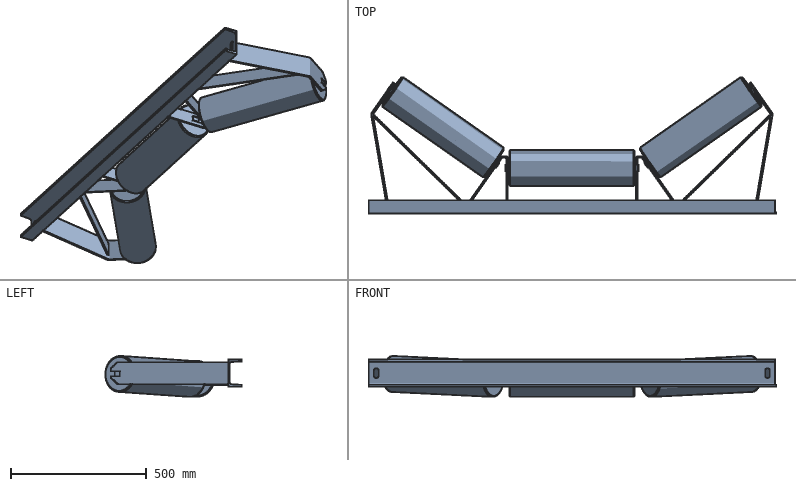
import cadquery as cq
import math


BEAM_LENGTH = 1495.0
BEAM_HEIGHT = 100.0
BEAM_DEPTH = 50.0
WEB_THICKNESS = 5.0
FLANGE_THICKNESS = 9.0
FLANGE_TAPER = math.radians(3)
FLANGE_ROOT_RADIUS = 8.0
LIP_LENGTH = 5.0
LIP_DEPTH = 6.0
MOUNT_SLOT_WIDTH = 18.0
MOUNT_SLOT_LENGTH = 36.0
MOUNT_SLOT_INSET = 28.0

ROLLER_DIAMETER = 134.0
ROLLER_LENGTH = 460.0
ROLLER_CHAMFER = 5.0
SHAFT_DIAMETER = 30.0
SHAFT_END_DEPTH = 22.0
SHAFT_END_WIDTH = 18.0
SHAFT_OVERHANG = 15.0
TROUGH_ANGLE = math.radians(35)
FORWARD_TILT = math.radians(2.3)
CENTRE_Z = -21.0
CENTRE_ROLLER_POSITION = (0, 118.0, CENTRE_Z)
SIDE_ROLLER_POSITION = (-474.0, 268.0, -12.0)

ARM_THICKNESS = 8.0
ARM_HEIGHT = 81.0
ARM_FOOT_X = -681.0
ARM_BEND = (-735.0, 316.0)
ARM_BEND_RADIUS = 8.0
PLATE_LENGTH = 140.0
CORNER_LENGTH = 30.0
CORNER_HEIGHT = 24.0

BAR_THICKNESS = 6.0
BAR_HEIGHT = 48.0
STRUT_FOOT_X = -411.0

SLOPING_FOOT_X = -370.0
UPRIGHT_X = -238.0
INNER_TOP_Y = 159.0
INNER_BEND_RADIUS = 3.0


def nearest(x, y, z):
    return cq.selectors.NearestToPointSelector((x, y, z))


def bent_strip(path, thickness, height, middle_z, bend_radius=0):
    """Strip on edge, centred on a path in XY and on middle_z, with rounded bends."""
    angles = [math.atan2(b[1] - a[1], b[0] - a[0]) for a, b in zip(path, path[1:])]
    left_side = []
    right_side = []
    bends = []
    for i, (x, y) in enumerate(path):
        angle_in = angles[max(i - 1, 0)]
        angle_out = angles[min(i, len(angles) - 1)]
        turn = angle_out - angle_in
        across = (angle_in + angle_out + math.pi) / 2
        reach = thickness / 2 / math.cos(turn / 2)
        left = (x + reach * math.cos(across), y + reach * math.sin(across))
        right = (2 * x - left[0], 2 * y - left[1])
        left_side.append(left)
        right_side.append(right)
        if turn:
            inside, outside = (left, right) if turn > 0 else (right, left)
            bends.append((inside, bend_radius))
            bends.append((outside, bend_radius + thickness))
    outline = left_side + right_side[::-1]
    strip = cq.Workplane("XY", origin=(0, 0, middle_z)).polyline(outline).close()
    strip = strip.extrude(height / 2, both=True)
    for (x, y), radius in bends:
        strip = strip.edges(nearest(x, y, middle_z)).fillet(radius)
    return strip



def roller_plane(middle, trough_angle, tilt):
    """Plane across a roller: the normal runs outwards along the axis, local x leads away from the beam."""
    run = math.cos(tilt)
    axis = (-math.cos(trough_angle) * run, math.sin(trough_angle) * run, math.sin(tilt))
    away = (math.sin(trough_angle), math.cos(trough_angle), 0)
    return cq.Plane(origin=middle, xDir=away, normal=axis)


def cylinder(plane, diameter, length):
    """Cylinder centred on the origin of the plane."""
    return cq.Workplane(plane).workplane(offset=-length / 2).circle(diameter / 2).extrude(length)


def make_roller(plane):
    roller = cylinder(plane, ROLLER_DIAMETER, ROLLER_LENGTH).faces("%PLANE").edges().chamfer(ROLLER_CHAMFER)
    return roller.cut(cylinder(plane, SHAFT_DIAMETER, ROLLER_LENGTH))


def make_shaft(plane):
    """Round inside the roller, with a rectangular end on each side."""
    half_length = ROLLER_LENGTH / 2 + SHAFT_OVERHANG
    ends = cq.Workplane(plane).rect(SHAFT_END_DEPTH, SHAFT_END_WIDTH).extrude(half_length, both=True)
    return cylinder(plane, SHAFT_DIAMETER, ROLLER_LENGTH).union(ends)


def make_shaft_slots(plane):
    """Cutter for the slots of both shaft ends, open away from the beam."""
    slot_depth = SHAFT_END_DEPTH + ARM_HEIGHT
    slot_middle = (slot_depth - SHAFT_END_DEPTH) / 2
    half_length = ROLLER_LENGTH / 2 + 2 * SHAFT_OVERHANG
    slots = cq.Workplane(plane).center(slot_middle, 0).rect(slot_depth, SHAFT_END_WIDTH)
    return slots.extrude(half_length, both=True)



def make_beam():
    top = BEAM_HEIGHT / 2
    slope = math.tan(FLANGE_TAPER)
    tip = top - FLANGE_THICKNESS + slope * BEAM_DEPTH / 2
    root = tip - slope * (BEAM_DEPTH - WEB_THICKNESS)
    outline = [
        (0, -top), (0, top), (-BEAM_DEPTH, top), (-BEAM_DEPTH, tip), (-WEB_THICKNESS, root),
        (-WEB_THICKNESS, -root), (-BEAM_DEPTH, -tip), (-BEAM_DEPTH, -top),
    ]
    beam = cq.Workplane("YZ").polyline(outline).close().extrude(BEAM_LENGTH / 2, both=True)
    for z in (root, -root):
        beam = beam.edges(nearest(0, -WEB_THICKNESS, z)).fillet(FLANGE_ROOT_RADIUS)
    slot_x = BEAM_LENGTH / 2 - MOUNT_SLOT_INSET
    slots = cq.Workplane("XZ").pushPoints([(-slot_x, 0), (slot_x, 0)])
    slots = slots.slot2D(MOUNT_SLOT_LENGTH, MOUNT_SLOT_WIDTH, 90).extrude(BEAM_DEPTH)
    lip_corner = (BEAM_LENGTH / 2, -BEAM_DEPTH, -top)
    lip = cq.Workplane("XY").box(LIP_LENGTH, LIP_DEPTH, top - tip, centered=False).translate(lip_corner)
    return beam.cut(slots).union(lip)


def make_outer_support():
    along_x = math.sin(TROUGH_ANGLE)
    along_y = math.cos(TROUGH_ANGLE)
    tip = (ARM_BEND[0] + PLATE_LENGTH * along_x, ARM_BEND[1] + PLATE_LENGTH * along_y)
    path = [(ARM_FOOT_X, 0), ARM_BEND, tip]
    support = bent_strip(path, ARM_THICKNESS, ARM_HEIGHT, 0, ARM_BEND_RADIUS)
    plate = cq.Plane(origin=(*tip, 0), xDir=(-along_x, -along_y, 0), normal=(-along_y, along_x, 0))
    for side in (-1, 1):
        edge = side * ARM_HEIGHT / 2
        corner = [(0, edge), (CORNER_LENGTH, edge), (0, edge - side * CORNER_HEIGHT)]
        cutter = cq.Workplane(plate).polyline(corner).close().extrude(ARM_THICKNESS, both=True)
        support = support.cut(cutter)
    return support


def make_strut():
    return bent_strip([(STRUT_FOOT_X, 0), ARM_BEND], BAR_THICKNESS, BAR_HEIGHT, 0)


def make_inner_support():
    slope_top_x = SLOPING_FOOT_X + INNER_TOP_Y * math.tan(TROUGH_ANGLE)
    path = [(SLOPING_FOOT_X, 0), (slope_top_x, INNER_TOP_Y), (UPRIGHT_X, INNER_TOP_Y), (UPRIGHT_X, 0)]
    return bent_strip(path, BAR_THICKNESS, BAR_HEIGHT, CENTRE_Z, INNER_BEND_RADIUS)


def make_frame(planes):
    supports = make_outer_support().union(make_strut()).union(make_inner_support())
    for plane in planes:
        supports = supports.cut(make_shaft_slots(plane))
    behind_web = cq.Workplane("XY").box(BEAM_LENGTH, BEAM_DEPTH, 2 * BEAM_HEIGHT)
    supports = supports.cut(behind_web.translate((0, -BEAM_DEPTH / 2, 0)))
    return make_beam().union(supports).union(supports.mirror("YZ"))


centre_plane = roller_plane(CENTRE_ROLLER_POSITION, 0, 0)
side_plane = roller_plane(SIDE_ROLLER_POSITION, TROUGH_ANGLE, FORWARD_TILT)

frame = make_frame([centre_plane, side_plane])
rollers = []
shafts = []
for roller_at in (centre_plane, side_plane):
    rollers.append(make_roller(roller_at))
    shafts.append(make_shaft(roller_at))
rollers.append(rollers[-1].mirror("YZ"))
shafts.append(shafts[-1].mirror("YZ"))

result = cq.Compound.makeCompound([body.val() for body in [frame, *rollers, *shafts]])